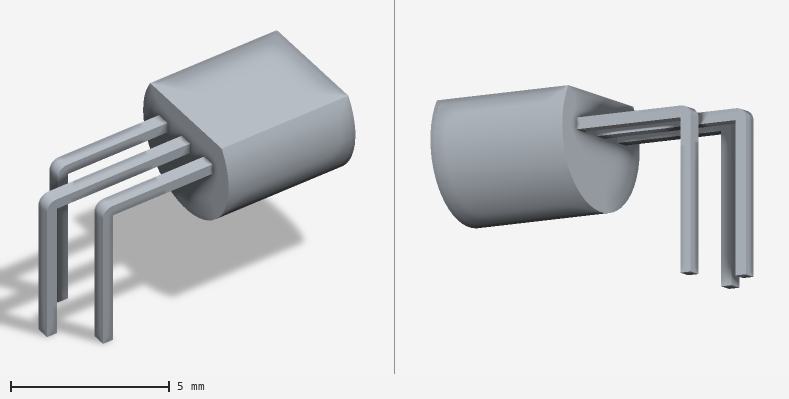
import cadquery as cq
import math

overall_length = 10.26
overall_height = 6.33

body_diameter = 4.82
body_length = 4.82
flat_height = 1.325

lead_pitch = 1.27
lead_width = 0.48
lead_thickness = 0.38
lead_top = 0.37
lead_bottom = flat_height - overall_height
middle_lead_reach = overall_length - body_length
outer_lead_reach = middle_lead_reach - lead_pitch
bend_outer_radius = 0.35

body_radius = body_diameter / 2


def make_body():
    flat_half_width = math.sqrt(body_radius**2 - flat_height**2)
    return (
        cq.Workplane("XZ")
        .moveTo(-flat_half_width, flat_height)
        .threePointArc((0, -body_radius), (flat_half_width, flat_height))
        .close()
        .extrude(-body_length)
    )


def make_lead(x_center, reach):
    """Lead with a rounded outer bend and a sharp inner corner; it starts at the body front face."""
    lead_underside = lead_top - lead_thickness
    arc_offset = bend_outer_radius * (1 - math.sqrt(0.5))
    return (
        cq.Workplane("YZ", origin=(x_center - lead_width / 2, 0, 0))
        .moveTo(0, lead_top)
        .lineTo(-reach + bend_outer_radius, lead_top)
        .threePointArc(
            (-reach + arc_offset, lead_top - arc_offset),
            (-reach, lead_top - bend_outer_radius),
        )
        .lineTo(-reach, lead_bottom)
        .lineTo(-reach + lead_thickness, lead_bottom)
        .lineTo(-reach + lead_thickness, lead_underside)
        .lineTo(0, lead_underside)
        .close()
        .extrude(lead_width)
    )


result = make_body()
for position in (-1, 0, 1):
    lead_reach = middle_lead_reach if position == 0 else outer_lead_reach
    result = result.union(make_lead(position * lead_pitch, lead_reach))